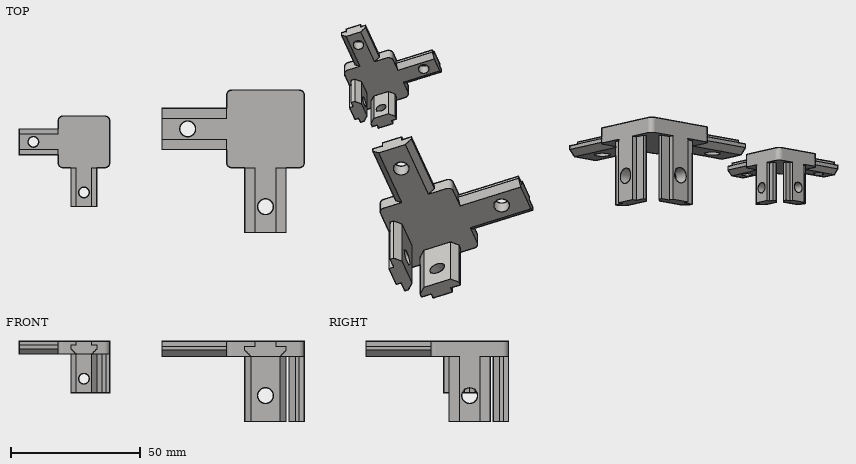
import cadquery as cq

CORNER_RADIUS = 2.0
SMALL_PLATE = 20.0
SMALL_ARM = 15.0
LARGE_PLATE = 30.0
LARGE_ARM = 25.0
GAP = 20.0


def arm_solid(length, thickness, head_width, neck_width, neck_depth, bevel, hole_diameter, hole_from_tip):
    """T-slot arm along +X from the origin, neck face on Z = 0, head hanging below, hole near the tip."""
    half_neck = neck_width / 2
    half_head = head_width / 2
    half_bottom = half_head - bevel
    right_side = [
        (half_neck, 0),
        (half_neck, -neck_depth),
        (half_head, -neck_depth),
        (half_head, -thickness + bevel),
        (half_bottom, -thickness),
    ]
    left_side = [(-y, z) for y, z in reversed(right_side)]
    bar = cq.Workplane("YZ").polyline(right_side + left_side).close().extrude(length)
    hole = (
        cq.Workplane("XY")
        .center(length - hole_from_tip, 0)
        .circle(hole_diameter / 2)
        .extrude(-thickness)
    )
    return bar.cut(hole)


def corner_bracket(plate, arm_length, thickness, **section):
    """Square plate with its top on Z = 0 and its -X, -Y corner at the origin, carrying four arms."""
    half = plate / 2
    body = (
        cq.Workplane("XY")
        .rect(plate, plate)
        .extrude(-thickness)
        .edges("|Z")
        .fillet(CORNER_RADIUS)
    )
    arm = arm_solid(arm_length, thickness, **section)

    flat_x = arm.rotate((0, 0, 0), (0, 0, 1), 180).translate((-half, 0, 0))
    flat_y = arm.rotate((0, 0, 0), (0, 0, 1), -90).translate((0, -half, 0))

    upright_x = arm.rotate((0, 0, 0), (0, 1, 0), 90).translate((half, 0, -thickness))
    upright_y = upright_x.rotate((0, 0, 0), (0, 0, 1), 90)

    for limb in (flat_x, flat_y, upright_x, upright_y):
        body = body.union(limb)
    return body.translate((half, half, 0))


small_bracket = corner_bracket(
    SMALL_PLATE,
    SMALL_ARM,
    thickness=5.0,
    head_width=10.0,
    neck_width=6.0,
    neck_depth=1.5,
    bevel=2.0,
    hole_diameter=4.0,
    hole_from_tip=5.5,
)

LARGE_PLATE_X = SMALL_PLATE + GAP + LARGE_ARM

large_bracket = corner_bracket(
    LARGE_PLATE,
    LARGE_ARM,
    thickness=6.0,
    head_width=16.0,
    neck_width=8.0,
    neck_depth=2.0,
    bevel=2.5,
    hole_diameter=6.0,
    hole_from_tip=10.0,
).translate((LARGE_PLATE_X, 0, 0))

result = cq.Compound.makeCompound([small_bracket.val(), large_bracket.val()])